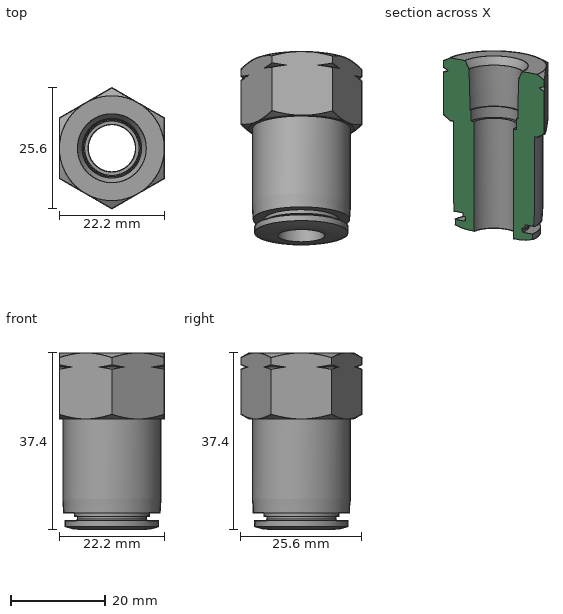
import cadquery as cq
import math

height = 37.4
hex_flats = 22.2
hex_length = 14.0
chamfer_angle = 30.0
notch_root_diameter = 23.2
notch_height = 0.97
notch_depth_from_top = 3.0

sleeve_diameter = 20.8
sleeve_end_diameter = 20.42
taper_start = 6.45
sleeve_bottom = 3.55
collar_diameter = 15.9
collar_bottom = 2.75
neck_diameter = 14.6
neck_flare_diameter = 14.9
neck_flare_top = 2.25
flange_diameter = 19.8
flange_top = 1.9
flange_edge = 0.65
flange_face_diameter = 13.1

countersink_diameter = 14.6
countersink_depth = 1.72
thread_diameter = 12.6
thread_end_diameter = 12.05
thread_length = 8.98
counterbore_diameter = 11.52
counterbore_depth = 13.1
hole_diameter = 10.0

hex_radius = hex_flats / 2 / math.cos(math.pi / 6)
hex_bottom = height - hex_length


def revolve_profile(points):
    """Revolve a closed (radius, height) outline about the Z axis."""
    return cq.Workplane("XZ").polyline(points).close().revolve(360, (0, 0), (0, 1))


def hex_head():
    """Hexagon with corners on Y, both ends chamfered by a cone touching the flats."""
    chamfer_height = (hex_radius - hex_flats / 2) * math.tan(math.radians(chamfer_angle))
    head = (
        cq.Workplane("XY", origin=(0, 0, hex_bottom))
        .polygon(6, 2 * hex_radius)
        .extrude(hex_length)
        .rotate((0, 0, 0), (0, 0, 1), 90)
    )
    chamfer_envelope = revolve_profile([
        (0, hex_bottom),
        (hex_flats / 2, hex_bottom),
        (hex_radius, hex_bottom + chamfer_height),
        (hex_radius, height - chamfer_height),
        (hex_flats / 2, height),
        (0, height),
    ])
    return head.intersect(chamfer_envelope)


def corner_notches():
    """V groove turned around the head, reaching only its six corners."""
    notch_z = height - notch_depth_from_top
    return revolve_profile([
        (notch_root_diameter / 2, notch_z),
        (hex_radius, notch_z + notch_height / 2),
        (hex_radius, notch_z - notch_height / 2),
    ])


def sleeve_and_collar():
    """Round lower body with its necked release collar, the end face rounded toward the flange."""
    body = revolve_profile([
        (0, flange_edge),
        (flange_diameter / 2, flange_edge),
        (flange_diameter / 2, flange_top),
        (neck_flare_diameter / 2, flange_top),
        (neck_diameter / 2, neck_flare_top),
        (neck_diameter / 2, collar_bottom),
        (collar_diameter / 2, collar_bottom),
        (collar_diameter / 2, sleeve_bottom),
        (sleeve_end_diameter / 2, sleeve_bottom),
        (sleeve_diameter / 2, taper_start),
        (sleeve_diameter / 2, hex_bottom),
        (0, hex_bottom),
    ])
    rounded_end = (
        cq.Workplane("XZ")
        .lineTo(flange_face_diameter / 2, 0)
        .tangentArcPoint((flange_diameter / 2, flange_edge), relative=False)
        .lineTo(0, flange_edge)
        .close()
        .revolve(360, (0, 0), (0, 1))
    )
    return body.union(rounded_end)


def stepped_bore():
    """Countersunk, tapered thread bore narrowing to the through hole."""
    thread_top = height - countersink_depth
    thread_bottom = thread_top - thread_length
    counterbore_floor = height - counterbore_depth
    return revolve_profile([
        (0, 0),
        (hole_diameter / 2, 0),
        (hole_diameter / 2, counterbore_floor),
        (counterbore_diameter / 2, counterbore_floor),
        (counterbore_diameter / 2, thread_bottom),
        (thread_end_diameter / 2, thread_bottom),
        (thread_diameter / 2, thread_top),
        (countersink_diameter / 2, height),
        (0, height),
    ])


result = hex_head().union(sleeve_and_collar()).cut(corner_notches()).cut(stepped_bore())